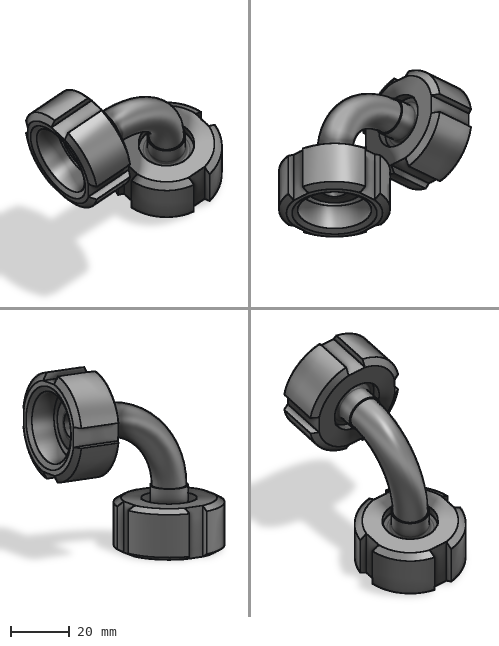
import cadquery as cq
import math

axis_offset = 48.5

nut_diameter = 38.0
nut_height = 18.0
nut_chamfer_height = 1.5
nut_chamfer_angle = 30.0
slot_count = 4
slot_width = 7.0
slot_floor_distance = 16.0

thread_bore_diameter = 25.14
thread_end_depth = 10.0
mouth_diameter = 29.0
mouth_cone_angle = 30.0
relief_diameter = 28.4
back_wall_thickness = 3.0
back_hole_diameter = 19.0

bore_diameter = 9.0
liner_head_diameter = 22.0
liner_neck_diameter = 13.0
liner_fillet = 1.5
liner_end_depth = 22.5
seat_land_diameter = 11.0
seat_land_depth = 9.0
seat_rim_diameter = 19.0
seat_cone_drop = 0.45

pipe_diameter = 12.0

nut_radius = nut_diameter / 2
nut_face_radius = nut_radius - nut_chamfer_height / math.tan(math.radians(nut_chamfer_angle))
thread_radius = thread_bore_diameter / 2
mouth_radius = mouth_diameter / 2
mouth_depth = (mouth_radius - thread_radius) * math.tan(math.radians(mouth_cone_angle))
shoulder_depth = nut_height - back_wall_thickness
bore_radius = bore_diameter / 2
head_radius = liner_head_diameter / 2
neck_radius = liner_neck_diameter / 2
seat_rim_depth = seat_land_depth + seat_cone_drop
bend_radius = axis_offset - liner_end_depth


def revolve_about_z(profile):
    """Turn a closed (radius, height) profile on the XZ plane about the Z axis."""
    return profile.close().revolve(360, (0, 0, 0), (0, 1, 0))


def make_nut():
    """Slotted union nut, open face at z = 0 and axis on Z."""
    nut = revolve_about_z(
        cq.Workplane("XZ")
        .moveTo(mouth_radius, 0)
        .lineTo(nut_face_radius, 0)
        .lineTo(nut_radius, nut_chamfer_height)
        .lineTo(nut_radius, nut_height - nut_chamfer_height)
        .lineTo(nut_face_radius, nut_height)
        .lineTo(back_hole_diameter / 2, nut_height)
        .lineTo(back_hole_diameter / 2, shoulder_depth)
        .lineTo(relief_diameter / 2, shoulder_depth)
        .lineTo(relief_diameter / 2, thread_end_depth)
        .lineTo(thread_radius, thread_end_depth)
        .lineTo(thread_radius, mouth_depth)
    )
    slot = (
        cq.Workplane("XY")
        .box(nut_radius, slot_width, nut_height, centered=(False, True, False))
        .translate((slot_floor_distance, 0, 0))
    )
    for index in range(slot_count):
        nut = nut.cut(slot.rotate((0, 0, 0), (0, 0, 1), index * 360 / slot_count))
    return nut


def make_liner():
    """Bored liner whose tapered head rests on the nut's inner shoulder."""
    arc_reach = liner_fillet * math.sqrt(0.5)
    root_center = (neck_radius + liner_fillet, shoulder_depth + liner_fillet)
    return revolve_about_z(
        cq.Workplane("XZ")
        .moveTo(bore_radius, seat_land_depth)
        .lineTo(seat_land_diameter / 2, seat_land_depth)
        .lineTo(seat_rim_diameter / 2, seat_rim_depth)
        .lineTo(head_radius, shoulder_depth)
        .lineTo(root_center[0], shoulder_depth)
        .threePointArc(
            (root_center[0] - arc_reach, root_center[1] - arc_reach),
            (neck_radius, root_center[1]),
        )
        .lineTo(neck_radius, liner_end_depth)
        .lineTo(bore_radius, liner_end_depth)
    )


def make_pipe():
    """Quarter bend from the lower liner to the side liner, curving toward -Y."""
    return (
        cq.Workplane("XY", origin=(0, 0, liner_end_depth))
        .circle(pipe_diameter / 2)
        .circle(bore_radius)
        .revolve(90, (0, -bend_radius, 0), (1, -bend_radius, 0))
    )


def place_on_side(body):
    """Move a body from the lower end of the elbow to the end that opens toward -Y."""
    return body.rotate((0, 0, 0), (1, 0, 0), -90).translate((0, -axis_offset, axis_offset))


ends = []
for make_body in (make_nut, make_liner):
    lower_body = make_body()
    ends.append(lower_body.val())
    ends.append(place_on_side(lower_body).val())

pipe = make_pipe()

result = cq.Compound.makeCompound([*ends, pipe.val()])